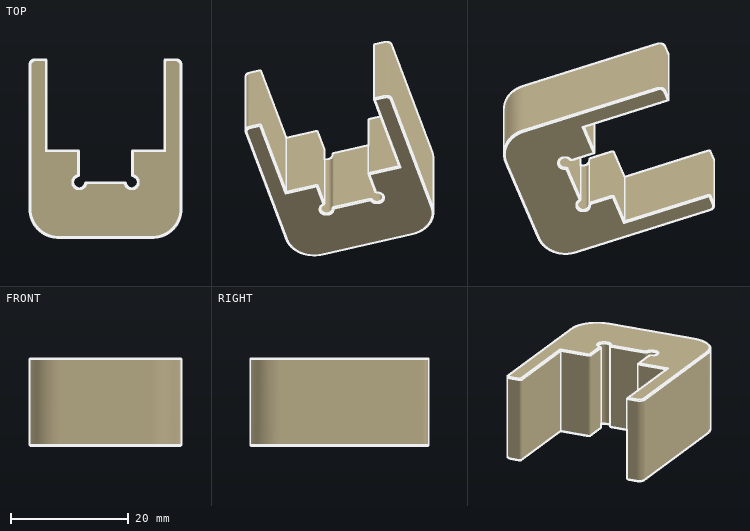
import cadquery as cq

width = 26.0
depth = 30.5
height = 15.0
base_corner_radius = 5.0

arm_thickness = 3.0
arm_tip_radius = 1.0
step_y = 15.0

slot_width = 8.97
slot_floor_y = 9.52
relief_radius = 1.0

edge_radius = 0.3
edge_chamfer = 0.2

overcut = 1.52
select_margin = 0.03


def cutter_between(cut_width, start_y):
    """Full-height box centred on X, open towards +Y."""
    length = depth + overcut - start_y
    box = cq.Workplane("XY").box(cut_width, length, height, centered=(True, False, False))
    return box.translate((0, start_y, 0))


def fillet_mirrored(body, x, y, radius):
    """Round the vertical edges at (x, y) and (-x, y)."""
    for edge_x in (x, -x):
        selector = cq.selectors.BoxSelector(
            (edge_x - select_margin, y - select_margin, 0),
            (edge_x + select_margin, y + select_margin, height),
        )
        body = body.edges(selector).fillet(radius)
    return body


mouth_width = width - 2 * arm_thickness
body = cq.Workplane("XY").box(width, depth, height, centered=(True, False, False))
body = body.cut(cutter_between(mouth_width, step_y))
body = body.cut(cutter_between(slot_width, slot_floor_y))

reliefs = (
    cq.Workplane("XY")
    .pushPoints([(-slot_width / 2, slot_floor_y), (slot_width / 2, slot_floor_y)])
    .circle(relief_radius)
    .extrude(height)
)
body = body.cut(reliefs)

body = fillet_mirrored(body, width / 2, 0, base_corner_radius)
body = fillet_mirrored(body, width / 2, depth, arm_tip_radius)
body = fillet_mirrored(body, mouth_width / 2, depth, edge_radius)
body = fillet_mirrored(body, slot_width / 2, step_y, edge_radius)
body = fillet_mirrored(body, slot_width / 2, slot_floor_y + relief_radius, edge_radius)
body = fillet_mirrored(body, slot_width / 2 - relief_radius, slot_floor_y, edge_radius)

result = body.faces("<Z or >Z").edges().chamfer(edge_chamfer)